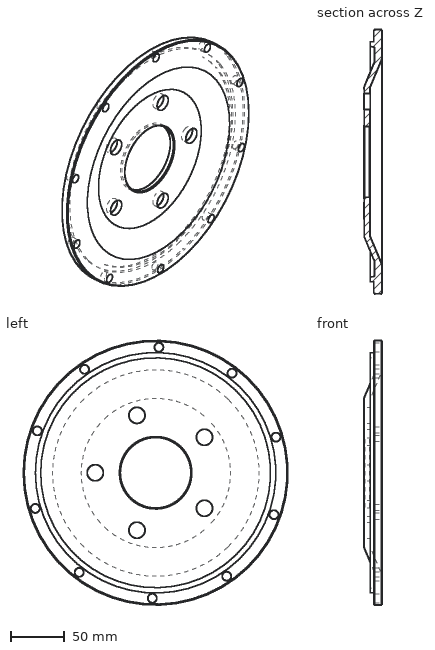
import cadquery as cq
import math

total_width = 17.0
hub_face_x = 0.0
lip_face_x = 6.0
rim_face_x = 9.0
web_face_x = 9.8
hub_thickness = 6.0

rim_radius = 123.0
lip_outer_radius = 111.7
lip_inner_radius = 106.8
lip_fillet = 1.2
cone_base_radius = 93.0
cone_top_radius = 69.4
cone_blend_radius = 8.0
bore_radius = 32.7
edge_chamfer = 1.0

stud_count = 5
stud_diameter = 14.8
stud_circle_radius = 56.0
stud_start_angle = 0.0
rim_hole_count = 10
rim_hole_diameter = 8.0
rim_hole_circle_radius = 116.5
rim_hole_start_angle = 91.5


def revolve_about_x(points):
    """Turn an outline of (x, radius) points around the X axis."""
    return cq.Workplane("XY").polyline(points).close().revolve(360, (0, 0, 0), (1, 0, 0))


def make_disc():
    """Dished disc: raised hub, conical wall, sunken flat web, lip and outer rim."""
    cone_slope = (cone_base_radius - cone_top_radius) / (web_face_x - hub_face_x)
    recess_mouth_radius = cone_top_radius + cone_slope * (total_width - hub_thickness)
    recess_floor_x = hub_face_x + hub_thickness
    return revolve_about_x([
        (hub_face_x, bore_radius),
        (hub_face_x, cone_top_radius),
        (web_face_x, cone_base_radius),
        (web_face_x, lip_inner_radius),
        (lip_face_x, lip_inner_radius),
        (lip_face_x, lip_outer_radius),
        (rim_face_x, lip_outer_radius),
        (rim_face_x, rim_radius),
        (total_width, rim_radius),
        (total_width, recess_mouth_radius),
        (recess_floor_x, cone_top_radius),
        (recess_floor_x, bore_radius),
    ])


def select_circle(body, x, radius):
    """Pick the circular edge of the given radius centred on the X axis at x."""
    tolerance = 0.02
    circles = [
        edge for edge in body.edges("%CIRCLE").vals()
        if abs(edge.Center().x - x) < tolerance and abs(edge.radius() - radius) < tolerance
    ]
    return body.newObject(circles)


def make_hole_ring(count, diameter, circle_radius, start_angle):
    """Through-hole cutters spaced evenly about X; angles run from +Y toward +Z."""
    centres = []
    for index in range(count):
        angle = math.radians(start_angle + index * 360 / count)
        centres.append((circle_radius * math.cos(angle), circle_radius * math.sin(angle)))
    return cq.Workplane("YZ").pushPoints(centres).circle(diameter / 2).extrude(total_width)


disc = make_disc()

for bend_x, bend_radius in ((hub_face_x, cone_top_radius), (web_face_x, cone_base_radius)):
    disc = select_circle(disc, bend_x, bend_radius).fillet(cone_blend_radius)

for lip_x in (lip_face_x, web_face_x):
    disc = select_circle(disc, lip_x, lip_inner_radius).fillet(lip_fillet)

for edge_x, edge_radius in (
    (rim_face_x, rim_radius),
    (total_width, rim_radius),
    (hub_face_x, bore_radius),
    (hub_face_x + hub_thickness, bore_radius),
):
    disc = select_circle(disc, edge_x, edge_radius).chamfer(edge_chamfer)

disc = disc.cut(make_hole_ring(stud_count, stud_diameter, stud_circle_radius, stud_start_angle))
result = disc.cut(
    make_hole_ring(rim_hole_count, rim_hole_diameter, rim_hole_circle_radius, rim_hole_start_angle)
)